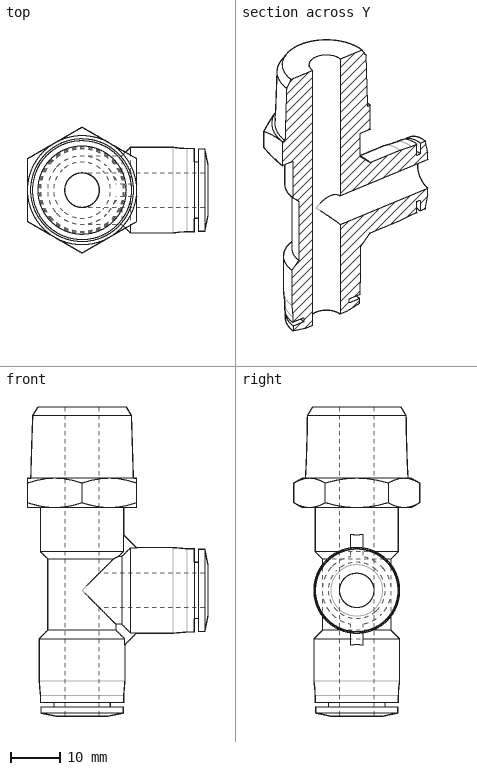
import cadquery as cq
import math


bore_diameter = 7.0

neck_diameter = 14.0

port_diameter = 17.5
port_neck_end = 8.1
port_shoulder_end = port_neck_end + (port_diameter - neck_diameter) / 2
port_taper_start = 18.5
port_taper_end = 21.4
port_lip_diameter = 17.0
port_lip_end = 22.85

ring_stem_diameter = 11.53
ring_diameter = 16.8
ring_start = 23.7
ring_edge_end = 25.0
ring_end = 25.65
ring_face_diameter = 10.5

body_diameter = 17.0
body_shoulder_height = 1.5
body_bottom = 7.9

hex_corner_diameter = 25.66
hex_sides = 6
hex_half_angle = 180 / hex_sides
hex_flat_width = hex_corner_diameter * math.cos(math.radians(hex_half_angle))
hex_bottom = 16.85
hex_height = 6.0
hex_top = hex_bottom + hex_height
hex_chamfer_angle = math.radians(30)

overall_height = 63.0
thread_top = overall_height - ring_end
thread_base_diameter = 20.955
thread_taper = 1 / 16
thread_chamfer_height = 1.75
thread_chamfer_bottom = thread_top - thread_chamfer_height
thread_tip_diameter = thread_base_diameter - thread_taper * (thread_chamfer_bottom - hex_top)
thread_face_diameter = 18.0

web_thickness = 2.5
web_reach = 19.8


def turned(stations):
    """Solid of revolution about Z from (diameter, height) pairs in axial order."""
    outline = [(0, stations[0][1])]
    outline += [(diameter / 2, height) for diameter, height in stations]
    outline.append((0, stations[-1][1]))
    return cq.Workplane("XZ").polyline(outline).close().revolve(360, (0, 0), (0, 1))


def cylinder(diameter, bottom, top):
    return turned([(diameter, bottom), (diameter, top)])


def along_branch(solid):
    """Turn a solid lying along +Z so that it lies along +X."""
    return solid.rotate((0, 0, 0), (0, 1, 0), 90)


def make_port():
    """Neck, port sleeve and release ring, pointing along +Z."""
    return turned([
        (neck_diameter, 0),
        (neck_diameter, port_neck_end),
        (port_diameter, port_shoulder_end),
        (port_diameter, port_taper_start),
        (port_lip_diameter, port_taper_end),
        (port_lip_diameter, port_lip_end),
        (ring_stem_diameter, port_lip_end),
        (ring_stem_diameter, ring_start),
        (ring_diameter, ring_start),
        (ring_diameter, ring_edge_end),
        (ring_face_diameter, ring_end),
    ])


def make_upper_run():
    """Neck, upper body and tapered thread envelope, from the crossing to the top."""
    return turned([
        (neck_diameter, 0),
        (neck_diameter, body_bottom - body_shoulder_height),
        (body_diameter, body_bottom),
        (body_diameter, hex_top),
        (thread_base_diameter, hex_top),
        (thread_tip_diameter, thread_chamfer_bottom),
        (thread_face_diameter, thread_top),
    ])


def make_hexagon():
    """Hexagon whose corners are cut by a cone at both ends."""
    prism = (
        cq.Workplane("XY")
        .workplane(offset=hex_bottom)
        .polygon(hex_sides, hex_corner_diameter)
        .extrude(hex_height)
        .rotate((0, 0, 0), (0, 0, 1), hex_half_angle)
    )
    chamfer_drop = (hex_corner_diameter - hex_flat_width) / 2 * math.tan(hex_chamfer_angle)
    envelope = turned([
        (hex_flat_width, hex_bottom),
        (hex_corner_diameter, hex_bottom + chamfer_drop),
        (hex_corner_diameter, hex_top - chamfer_drop),
        (hex_flat_width, hex_top),
    ])
    return prism.intersect(envelope)


def make_webs():
    """One triangular plate that fills the corners above and below the branch."""
    return (
        cq.Workplane("XZ")
        .polyline([(0, web_reach), (web_reach, 0), (0, -web_reach)])
        .close()
        .extrude(web_thickness / 2, both=True)
    )


port = make_port()
lower_port = port.rotate((0, 0, 0), (1, 0, 0), 180)
branch_port = along_branch(port)

fitting = make_upper_run()
for piece in (lower_port, branch_port, make_hexagon(), make_webs()):
    fitting = fitting.union(piece)

run_bore = cylinder(bore_diameter, -ring_end, thread_top)
branch_bore = along_branch(cylinder(bore_diameter, 0, ring_end))

result = fitting.cut(run_bore).cut(branch_bore)